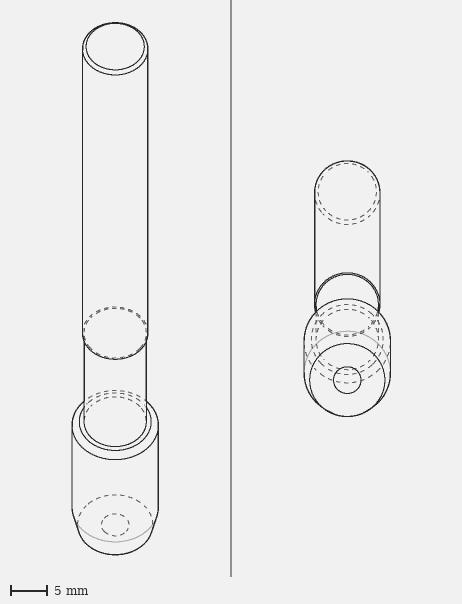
import cadquery as cq

total_length = 111.9

point_height = 1.9
point_diameter = 3.8
head_diameter = 12.0
lead_diameter = 10.4
lead_length = 4.0
head_length = 23.7
rear_chamfer_length = 0.8
rear_chamfer_width = 1.0

neck_diameter = 8.6
shank_diameter = 9.1
shank_length = 65.9
shank_chamfer = 0.5

lead_top = point_height + lead_length
head_top = point_height + head_length
neck_top = total_length - shank_length


def revolve_profile(profile):
    """Close a half profile and turn it around the Z axis."""
    return profile.close().revolve(360, (0, 0, 0), (0, 1, 0))


def make_head():
    """Cutting head, from the centre point up to its flat rear face."""
    head_radius = head_diameter / 2
    profile = (
        cq.Workplane("XZ")
        .lineTo(point_diameter / 2, point_height)
        .lineTo(lead_diameter / 2, point_height)
        .lineTo(head_radius, lead_top)
        .lineTo(head_radius, head_top - rear_chamfer_length)
        .lineTo(head_radius - rear_chamfer_width, head_top)
        .lineTo(0, head_top)
    )
    return revolve_profile(profile)


def make_shank():
    """Shank, whose neck stands on the rear face of the head."""
    neck_radius = neck_diameter / 2
    shank_radius = shank_diameter / 2
    profile = (
        cq.Workplane("XZ")
        .moveTo(0, head_top)
        .lineTo(neck_radius, head_top)
        .lineTo(neck_radius, neck_top)
        .lineTo(shank_radius, neck_top)
        .lineTo(shank_radius, total_length - shank_chamfer)
        .lineTo(shank_radius - shank_chamfer, total_length)
        .lineTo(0, total_length)
    )
    return revolve_profile(profile)


head = make_head()
shank = make_shank()

result = cq.Compound.makeCompound([head.val(), shank.val()])